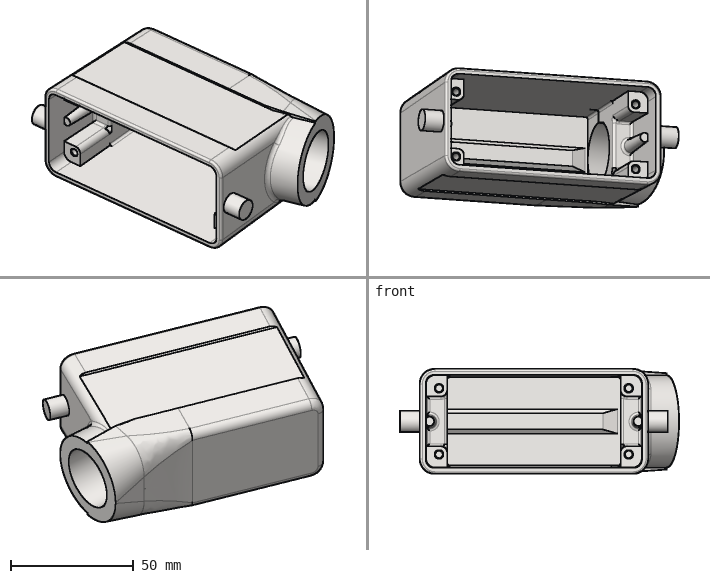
import cadquery as cq
import math


draft_angle = 1.0
housing_length = 93.3
housing_height = 43.0
housing_depth = 63.0
corner_radius = 6.2
back_edge_radius = 3.5
rim_edge_radius = 1.0

wall = 2.5
cavity_depth = 60.2
cavity_corner_radius = 3.6
chamber_half_length = 35.4
chamber_corner_radius = 1.0

shelf_depth = 28.5
boss_front = 9.5
boss_inner_z = 10.2
boss_corner_radius = 2.5
shelf_edge_radius = 1.1
screw_x = 38.7
screw_z = 13.5
screw_hole_radius = 1.5
screw_hole_depth = 12.0
screw_chamfer = 0.3
stud_x = 42.6
stud_tip_radius = 1.9
stud_root_radius = 2.8

pin_radius = 4.4
pin_y = 6.2
pin_tip_x = 54.7

spout_angle = 16.0
spout_radius = 18.9
spout_tip_x = 59.31
spout_tip_y = 70.13
spout_length = 16.0
spout_root_radius = 2.0
spout_bore_radius = 13.0
spout_bore_length = 30.0

blend_start_x = 12.6
blend_side_z = 19.7
blend_tip_flat = 0.2
blend_mid_round = 5.8
blend_bend_round = 11.8

panel_depth = 0.7
panel_front_y = 13.0
panel_back_y = 46.4
panel_front_x = 43.3
panel_back_x = 42.7
panel_kink_x = 36.0

rib_half_width = 5.0
rib_height = 1.7
rib_end_x = 34.1

draft_slope = math.tan(math.radians(draft_angle))
spout_slope = math.tan(math.radians(spout_angle))
spout_cos = math.cos(math.radians(spout_angle))
spout_sin = math.sin(math.radians(spout_angle))

spout_face_x = spout_tip_x - spout_radius * spout_sin
spout_face_y = spout_tip_y - spout_radius * spout_cos


def side_z(y):
    """Half height of the drafted housing at depth y."""
    return housing_height / 2 - y * draft_slope


def plane_at(y):
    """Plane facing +Y at depth y, with local axes (X, -Z)."""
    return cq.Workplane(cq.Plane(origin=(0, y, 0), xDir=(1, 0, 0), normal=(0, 1, 0)))


def drafted_box(length, height, depth, radius):
    box = plane_at(0).rect(length, height).extrude(depth, taper=draft_angle)
    return box.edges("not(<Y or >Y)").fillet(radius)


def housing():
    body = drafted_box(housing_length, housing_height, housing_depth, corner_radius)
    body = body.faces(">Y").edges().fillet(back_edge_radius)
    return body.faces("<Y").edges().fillet(rim_edge_radius)


def spout_cylinder(radius, length):
    face = cq.Plane(
        origin=(spout_face_x, spout_face_y, 0),
        xDir=(0, 0, 1),
        normal=(-spout_cos, -spout_sin, 0),
    )
    return cq.Workplane(face).circle(radius).extrude(length)


def quarter_ellipse(center, start_axis, end_axis):
    """Bezier quarter ellipse from center + start_axis to center + end_axis."""
    kappa = 4 / 3 * (math.sqrt(2) - 1)
    start = center + start_axis
    end = center + end_axis
    return cq.Edge.makeBezier([start, start + end_axis * kappa, end + start_axis * kappa, end])


def blend_section(x, y, tilt, depth, round_depth, half_flat, base_z, shoulder_z):
    """Section hanging from the top point (x, y): flat top, rounded shoulders, straight sides."""
    top = cq.Vector(x, y, 0)
    down = cq.Vector(math.sin(math.radians(tilt)), -math.cos(math.radians(tilt)), 0)
    up_z = cq.Vector(0, 0, 1)
    base = top + down * depth
    shoulder = top + down * round_depth
    round_z = shoulder_z - half_flat
    rise = down * -round_depth
    edges = [
        cq.Edge.makeLine(base - up_z * base_z, base + up_z * base_z),
        cq.Edge.makeLine(base + up_z * base_z, shoulder + up_z * shoulder_z),
        quarter_ellipse(shoulder + up_z * half_flat, up_z * round_z, rise),
        cq.Edge.makeLine(top + up_z * half_flat, top - up_z * half_flat),
        quarter_ellipse(shoulder - up_z * half_flat, rise, up_z * -round_z),
        cq.Edge.makeLine(shoulder - up_z * shoulder_z, base - up_z * base_z),
    ]
    return cq.Wire.assembleEdges(edges)


def spout_blend():
    """Loft whose crest follows an arc tangent to the housing back and to the spout."""
    crest_end_x = spout_face_x - spout_radius * spout_sin
    crest_end_y = spout_face_y + spout_radius * spout_cos
    tangent_length = crest_end_x - (crest_end_y - housing_depth) / spout_slope - blend_start_x
    bend_radius = tangent_length / math.tan(math.radians(spout_angle / 2))

    start_depth = housing_depth - panel_back_y
    axis_gap = (spout_face_y - panel_back_y - (spout_face_x - panel_kink_x) * spout_slope) * spout_cos
    spout_depth = spout_radius + axis_gap
    start_flat = side_z(housing_depth) - back_edge_radius
    start_shoulder_z = side_z(housing_depth - back_edge_radius)

    def crest(tilt):
        angle = math.radians(tilt)
        return (
            blend_start_x + bend_radius * math.sin(angle),
            housing_depth + bend_radius * (1 - math.cos(angle)),
        )

    def flat_at(x):
        share = (x - blend_start_x) / (crest_end_x - blend_start_x)
        return start_flat + share * (blend_tip_flat - start_flat)

    mid_tilt = spout_angle / 2
    mid_x, mid_y = crest(mid_tilt)
    bend_x, bend_y = crest(spout_angle)
    base_z = side_z(panel_back_y)
    sections = [
        blend_section(blend_start_x, housing_depth, 0, start_depth, back_edge_radius,
                      start_flat, base_z, start_shoulder_z),
        blend_section(mid_x, mid_y, mid_tilt, (start_depth + spout_depth) / 2, blend_mid_round,
                      flat_at(mid_x), base_z, side_z(mid_y - blend_mid_round)),
        blend_section(bend_x, bend_y, spout_angle, spout_depth, blend_bend_round,
                      flat_at(bend_x), base_z, side_z(bend_y - blend_bend_round)),
        blend_section(crest_end_x, crest_end_y, spout_angle, spout_depth, spout_radius,
                      blend_tip_flat, blend_side_z, blend_side_z),
    ]
    return cq.Workplane(cq.Solid.makeLoft(sections[:3])).union(
        cq.Workplane(cq.Solid.makeLoft(sections[2:], True)))


def blend_clearance():
    """Region of the plain housing that the blend replaces, behind the panel edge line."""
    far_x = housing_length
    far_y = panel_back_y + (far_x - panel_kink_x) * spout_slope
    outline = [
        (blend_start_x, panel_back_y),
        (panel_kink_x, panel_back_y),
        (far_x, far_y),
        (far_x, housing_length),
        (blend_start_x, housing_length),
    ]
    return cq.Workplane("XY").polyline(outline).close().extrude(housing_height, both=True)


def is_spout_root(edge):
    """True for the edges where the spout cylinder meets the end wall and its rounded corners."""
    end_x = housing_length / 2
    box = edge.BoundingBox()
    within_x = edge.Center().x > panel_back_x and box.xmax < end_x
    within_y = box.ymin > shelf_depth and box.ymax < spout_face_y
    return within_x and within_y


def side_panel():
    """Cutter for the shallow panel on the +Z side, with a sloped front edge."""
    outside_z = housing_height
    end_y = housing_depth
    ramp_y = panel_front_y + panel_depth
    profile = [
        (panel_front_y, side_z(panel_front_y)),
        (ramp_y, side_z(ramp_y) - panel_depth),
        (end_y, side_z(end_y) - panel_depth),
        (end_y, outside_z),
        (panel_front_y, outside_z),
    ]
    band = cq.Workplane("YZ").polyline(profile).close().extrude(housing_length / 2, both=True)
    outline = [
        (-panel_front_x, panel_front_y),
        (panel_front_x, panel_front_y),
        (panel_back_x, panel_back_y + (panel_back_x - panel_kink_x) * spout_slope),
        (panel_kink_x, panel_back_y),
        (-panel_back_x, panel_back_y),
    ]
    return band.intersect(cq.Workplane("XY").polyline(outline).close().extrude(outside_z))


def cavity():
    """Full-width mouth in front of the end blocks plus the deep central chamber."""
    length = housing_length - 2 * wall
    height = housing_height - 2 * wall
    mouth = drafted_box(length, height, shelf_depth, cavity_corner_radius)
    chamber = (
        drafted_box(length, height, cavity_depth, cavity_corner_radius)
        .intersect(plane_at(0).rect(2 * chamber_half_length, height).extrude(cavity_depth))
        .edges("not(<Y or >Y)").edges(">X or <X").fillet(chamber_corner_radius)
    )
    return mouth.union(chamber)


def end_fittings():
    """Two screw bosses and one tapered stud at the +X end of the cavity."""
    block_length = housing_length / 2 - wall / 2 - chamber_half_length
    block_height = housing_height / 2 - wall / 2 - boss_inner_z
    boss = (
        plane_at(boss_front)
        .center(chamber_half_length + block_length / 2, boss_inner_z + block_height / 2)
        .rect(block_length, block_height)
        .extrude(shelf_depth - boss_front)
    )
    boss = boss.edges("|Y and <X and >Z").fillet(boss_corner_radius)
    stud = (
        plane_at(boss_front).center(stud_x, 0).circle(stud_tip_radius)
        .workplane(offset=shelf_depth - boss_front).circle(stud_root_radius).loft()
    )
    core_radius = corner_radius - wall / 2
    wall_core = drafted_box(housing_length - wall, housing_height - wall, shelf_depth, core_radius)
    return boss.union(boss.mirror("XY")).union(stud).intersect(wall_core)


def is_shelf_edge(edge):
    """True for the roots of bosses, studs and end walls on the shelf, and for the chamber lip."""
    box = edge.BoundingBox()
    overhang = abs(edge.Center().x) - chamber_half_length
    tolerance = 0.01
    in_shelf_plane = box.ylen < tolerance and abs(box.ymin - shelf_depth) < tolerance
    spans_chamber = box.zlen > 2 * boss_inner_z
    return in_shelf_plane and (overhang > tolerance or (overhang > -tolerance and spans_chamber))


def screw_holes():
    holes = plane_at(boss_front).rect(2 * screw_x, 2 * screw_z, forConstruction=True).vertices()
    drill = holes.circle(screw_hole_radius).extrude(screw_hole_depth)
    mouths = (
        plane_at(boss_front).rect(2 * screw_x, 2 * screw_z, forConstruction=True).vertices()
        .circle(screw_hole_radius + screw_chamfer).extrude(screw_chamfer, taper=45)
    )
    return drill.union(mouths)


def back_rib():
    """Rib with 45 degree flanks; its +X end slopes back parallel to the spout axis."""
    crest_y = cavity_depth - rib_height
    crest_half = rib_half_width - rib_height
    root_y = (cavity_depth + housing_depth) / 2
    start_x = -chamber_half_length
    profile = [
        (root_y, -rib_half_width),
        (cavity_depth, -rib_half_width),
        (crest_y, -crest_half),
        (crest_y, crest_half),
        (cavity_depth, rib_half_width),
        (root_y, rib_half_width),
    ]
    bar = cq.Workplane("YZ", origin=(start_x, 0, 0)).polyline(profile).close()
    bar = bar.extrude(rib_end_x - start_x)
    ramp = (
        cq.Workplane("XY")
        .polyline([
            (rib_end_x, cavity_depth),
            (rib_end_x, crest_y),
            (rib_end_x - rib_height / spout_slope, crest_y),
        ])
        .close().extrude(rib_half_width, both=True)
    )
    return bar.cut(ramp)


def locking_pin():
    root_x = housing_length / 2 - wall / 2
    return cq.Workplane("YZ", origin=(root_x, 0, 0)).center(pin_y, 0).circle(pin_radius).extrude(
        pin_tip_x - root_x)


shell = housing().cut(blend_clearance()).union(spout_blend())
shell = shell.union(spout_cylinder(spout_radius, spout_length))
root_edges = [edge for edge in shell.edges().vals() if is_spout_root(edge)]
shell = shell.newObject(root_edges).fillet(spout_root_radius)

panel = side_panel()
shell = shell.cut(panel).cut(panel.mirror("XY"))
shell = shell.cut(cavity())

fittings = end_fittings().union(locking_pin())
shell = shell.union(fittings).union(fittings.mirror("YZ"))
shell_edges = shell.edges().vals()
shell = shell.newObject([edge for edge in shell_edges if is_shelf_edge(edge)]).fillet(shelf_edge_radius)
shell = shell.union(back_rib())

result = shell.cut(screw_holes()).cut(spout_cylinder(spout_bore_radius, spout_bore_length))